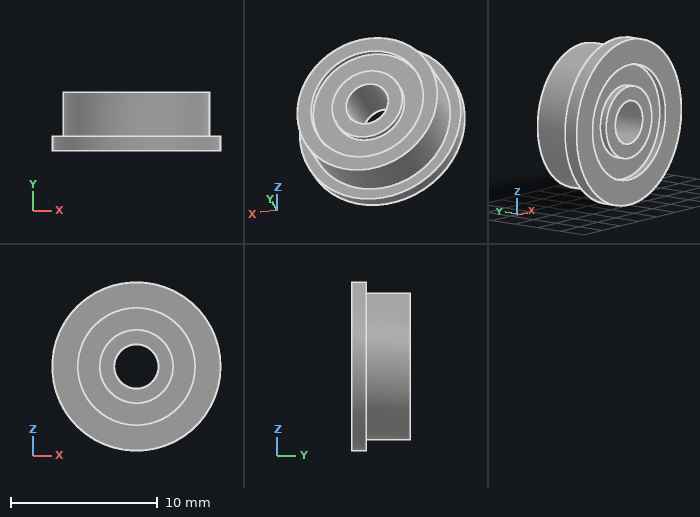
import cadquery as cq

bore_diameter = 3.0
inner_ring_diameter = 5.0
outer_ring_bore = 8.0
body_diameter = 10.0
flange_diameter = 11.5
width = 4.0
flange_thickness = 1.0
shield_recess = 0.5


def cylinder(diameter, start_y, length):
    """Solid cylinder on the Y axis, growing towards +Y from start_y."""
    plane = cq.Plane(origin=(0, start_y, 0), xDir=(1, 0, 0), normal=(0, 1, 0))
    return cq.Workplane(plane).circle(diameter / 2).extrude(length)


def shield_groove(start_y):
    """Ring-shaped recess between the inner and outer rings."""
    outer = cylinder(outer_ring_bore, start_y, shield_recess)
    return outer.cut(cylinder(inner_ring_diameter, start_y, shield_recess))


body = cylinder(body_diameter, 0, width)
flange = cylinder(flange_diameter, 0, flange_thickness)
bearing = body.union(flange)

for groove_start in (0, width - shield_recess):
    bearing = bearing.cut(shield_groove(groove_start))

result = bearing.cut(cylinder(bore_diameter, 0, width))